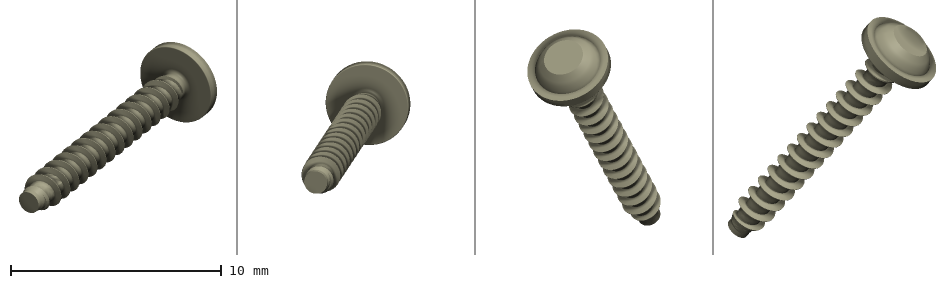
import cadquery as cq
import math

LENGTH = 14.2

FLANGE_RADIUS = 2.0
FLANGE_THICKNESS = 0.53
FLANGE_EDGE_FILLET = 0.04
DOME_HEIGHT = 0.7
DOME_TOP_RADIUS = 0.97
DOME_BASE_RADIUS = 1.62
DOME_BULGE = 0.07
HEAD_HEIGHT = DOME_HEIGHT + FLANGE_THICKNESS

NECK_RADIUS = 0.67
NECK_FILLET = 0.15
NECK_END = 1.65
NECK_CONE_LENGTH = 0.28
CORE_RADIUS = 0.55

THREAD_START = 1.6
FULL_THREAD_END = 12.8
FULL_TURNS = 14
RUNOUT_TURNS = 2
PITCH = (FULL_THREAD_END - THREAD_START) / FULL_TURNS
TURNS = FULL_TURNS + RUNOUT_TURNS
CREST_RADIUS = 0.92
CREST_WIDTH = 0.03
ROOT_RADIUS = 0.62
ROOT_WIDTH = 0.2
ROOT_CLEARANCE = 0.007
RAMP_END_RADIUS = CORE_RADIUS - ROOT_CLEARANCE
RAMP_END = PITCH - ROOT_WIDTH / 2 - ROOT_CLEARANCE
BURIED_RADIUS = 0.47

LEAD_START_RADIUS = 0.71
LEAD_END = 2.55
TAPER_START = 13.0
TAPER_END = 13.95
TIP_RADIUS = 0.51


def make_body():
    """Revolve the head, neck and plain core in one outline."""
    bulge_offset = DOME_BULGE * math.sqrt(0.5)
    dome_middle = (
        (DOME_TOP_RADIUS + DOME_BASE_RADIUS) / 2 + bulge_offset,
        DOME_HEIGHT / 2 - bulge_offset,
    )
    edge_sag = FLANGE_EDGE_FILLET * (1 - math.sqrt(0.5))
    neck_sag = NECK_FILLET * (1 - math.sqrt(0.5))
    outline = (
        cq.Workplane("XZ")
        .moveTo(0, 0)
        .lineTo(DOME_TOP_RADIUS, 0)
        .threePointArc(dome_middle, (DOME_BASE_RADIUS, DOME_HEIGHT))
        .lineTo(FLANGE_RADIUS, DOME_HEIGHT)
        .lineTo(FLANGE_RADIUS, HEAD_HEIGHT - FLANGE_EDGE_FILLET)
        .threePointArc(
            (FLANGE_RADIUS - edge_sag, HEAD_HEIGHT - edge_sag),
            (FLANGE_RADIUS - FLANGE_EDGE_FILLET, HEAD_HEIGHT),
        )
        .lineTo(NECK_RADIUS + NECK_FILLET, HEAD_HEIGHT)
        .threePointArc(
            (NECK_RADIUS + neck_sag, HEAD_HEIGHT + neck_sag),
            (NECK_RADIUS, HEAD_HEIGHT + NECK_FILLET),
        )
        .lineTo(NECK_RADIUS, NECK_END)
        .lineTo(CORE_RADIUS, NECK_END + NECK_CONE_LENGTH)
        .lineTo(CORE_RADIUS, LENGTH)
        .lineTo(0, LENGTH)
        .close()
    )
    return outline.revolve(360, (0, 0), (0, 1))


def make_thread():
    """Sweep one ridge, with the root ramp on its tip side, along a right-hand helix."""
    ridge = [
        (BURIED_RADIUS, -ROOT_WIDTH / 2),
        (ROOT_RADIUS, -ROOT_WIDTH / 2),
        (CREST_RADIUS, -CREST_WIDTH / 2),
        (CREST_RADIUS, CREST_WIDTH / 2),
        (ROOT_RADIUS, ROOT_WIDTH / 2),
        (RAMP_END_RADIUS, RAMP_END),
        (BURIED_RADIUS, RAMP_END),
    ]
    helix = cq.Wire.makeHelix(PITCH, PITCH * TURNS, CORE_RADIUS)
    swept = cq.Workplane("XZ").polyline(ridge).close().sweep(cq.Workplane(obj=helix), isFrenet=True)
    return swept.translate((0, 0, THREAD_START))


def make_thread_envelope():
    """Solid of revolution that limits the thread height near the neck and the tip."""
    outer_radius = CREST_RADIUS + CREST_WIDTH
    outline = (
        cq.Workplane("XZ")
        .polyline([
            (0, THREAD_START),
            (LEAD_START_RADIUS, THREAD_START),
            (outer_radius, LEAD_END),
            (outer_radius, TAPER_START),
            (CORE_RADIUS, TAPER_END),
            (TIP_RADIUS, LENGTH),
            (0, LENGTH),
        ])
        .close()
    )
    return outline.revolve(360, (0, 0), (0, 1))


thread = make_thread().intersect(make_thread_envelope())
screw = make_body().union(thread)
result = screw.rotate((0, 0, 0), (1, 0, 0), 90)